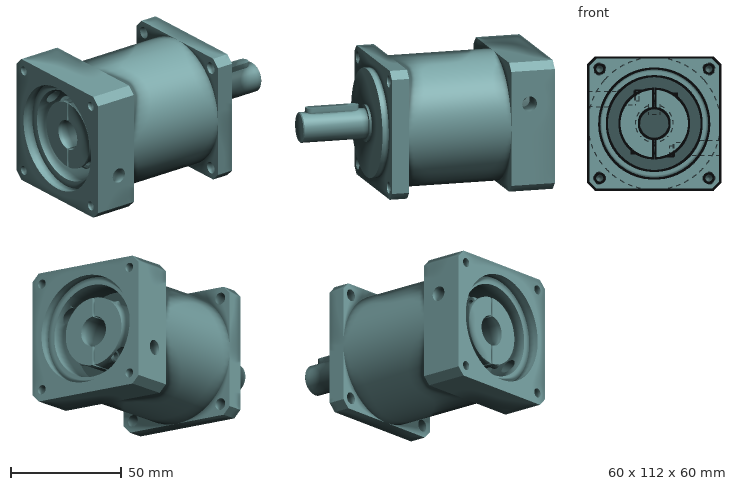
import cadquery as cq
import math


total_length = 112.0
side = 60.0
corner_chamfer = 3.5
motor_block_end = 20.6
flange_start = 68.9
flange_end = 77.0
pilot_diameter = 50.3
pilot_end = 80.1

shaft_diameter = 14.0
shaft_chamfer = 0.5
seal_diameter = 17.0
seal_end = 81.2

key_width = 5.0
key_height = 5.0
key_length = 25.1
key_tip_gap = 2.9
key_top = 9.1

recess_diameter = 50.0
recess_depth = 5.0
cavity_diameter = 43.0
cavity_depth = 22.4

clamp_diameter = 31.6
clamp_face = 6.0
bore_diameter = shaft_diameter
bore_depth = 31.4
slit_width = 1.0

screw_height = 11.8
screw_depth = 10.9
screw_diameter = 3.6
screw_tip = 10.4
head_diameter = 6.5
head_end = 9.0
head_length = 3.6
head_chamfer = 0.6
socket_diameter = 3.1
socket_depth = 2.0
screw_turns = (0, 180)

hole_offset = 24.8
motor_hole_diameter = 4.3
motor_hole_depth = 13.4
drill_tip_angle = 118.0
flange_hole_diameter = 5.5
access_diameter = 7.0
access_depth = 12.0
access_height = 11.1


def cylinder(diameter, start, end):
    """Round bar on the gearbox axis between two Y positions."""
    axis = cq.Vector(0, 1, 0)
    return cq.Workplane(cq.Solid.makeCylinder(diameter / 2, end - start, cq.Vector(0, start, 0), axis))


def square_plate(start, end):
    """Square plate with chamfered corners between two Y positions."""
    plate = cq.Workplane("XY").box(side, end - start, side)
    return plate.edges("|Y").chamfer(corner_chamfer).translate((0, (start + end) / 2, 0))


def make_case():
    """Square motor block and flange joined by the round case, with pilot, seal collar and shaft."""
    case = square_plate(0, motor_block_end)
    case = case.union(cylinder(side, motor_block_end, flange_start))
    case = case.union(square_plate(flange_start, flange_end))
    case = case.union(cylinder(pilot_diameter, flange_end, pilot_end))
    case = case.union(cylinder(seal_diameter, pilot_end, seal_end))
    shaft = cylinder(shaft_diameter, seal_end, total_length)
    return case.union(shaft.faces(">Y").chamfer(shaft_chamfer))


def make_cavity():
    """Stepped motor opening, leaving the split clamp ring standing on its floor."""
    ring = cylinder(clamp_diameter, clamp_face, cavity_depth)
    slit_length = cavity_depth - clamp_face
    slit = cq.Workplane("XY").box(slit_width, slit_length, clamp_diameter)
    ring = ring.cut(slit.translate((0, clamp_face + slit_length / 2, 0)))
    cavity = cylinder(recess_diameter, 0, recess_depth).union(cylinder(cavity_diameter, 0, cavity_depth))
    return cavity.cut(ring).union(cylinder(bore_diameter, clamp_face, bore_depth))


def bar_along_x(diameter, start, end, depth, height):
    """Round bar parallel to X between two X positions."""
    base = cq.Vector(start, depth, height)
    return cq.Workplane(cq.Solid.makeCylinder(diameter / 2, end - start, base, cq.Vector(1, 0, 0)))


def turned(shape, turn):
    """Turn a shape about the gearbox axis."""
    return shape.rotate((0, 0, 0), (0, 1, 0), turn)


def make_screw():
    """Screw across the upper half of the clamp ring, its chamfered socket head toward -X."""
    head_seat = head_length - head_end
    head = bar_along_x(head_diameter, -head_end, head_seat, screw_depth, screw_height)
    head = head.faces("<X").chamfer(head_chamfer)
    socket = bar_along_x(socket_diameter, -head_end, socket_depth - head_end, screw_depth, screw_height)
    shank = bar_along_x(screw_diameter, head_seat, screw_tip, screw_depth, screw_height)
    return head.cut(socket).union(shank)


def make_counterbore():
    """Recess in the clamp ring that takes the screw head."""
    return bar_along_x(head_diameter, -clamp_diameter / 2, head_length - head_end, screw_depth, screw_height)


def make_access_hole():
    """Tool hole through the -X wall of the motor block, in front of the upper screw head."""
    hole = bar_along_x(access_diameter, -side / 2, 0, access_depth, access_height)
    return hole.cut(cylinder(cavity_diameter, 0, cavity_depth))


def make_motor_hole(x, z):
    """Blind drilled hole with a conical tip, entering the motor face."""
    radius = motor_hole_diameter / 2
    tip_depth = motor_hole_depth + radius / math.tan(math.radians(drill_tip_angle / 2))
    profile = cq.Workplane("XY").polyline([(0, 0), (radius, 0), (radius, motor_hole_depth), (0, tip_depth)])
    return profile.close().revolve(360, (0, 0, 0), (0, 1, 0)).translate((x, 0, z))


def make_flange_hole(x, z):
    """Through hole in the output flange."""
    return cylinder(flange_hole_diameter, flange_start, flange_end).translate((x, 0, z))


def make_key():
    """Parallel key with full round ends."""
    middle = total_length - key_tip_gap - key_length / 2
    outline = cq.Workplane("XY").workplane(offset=key_top - key_height).center(0, middle)
    return outline.slot2D(key_length, key_width, 90).extrude(key_height)


def make_housing(key):
    """Gearbox body with its clamp ring, screws, holes and keyway."""
    housing = make_case().cut(make_cavity())
    for turn in screw_turns:
        housing = housing.cut(turned(make_access_hole(), turn))
        housing = housing.cut(turned(make_counterbore(), turn))
        housing = housing.union(turned(make_screw(), turn))
    for x in (-hole_offset, hole_offset):
        for z in (-hole_offset, hole_offset):
            housing = housing.cut(make_motor_hole(x, z)).cut(make_flange_hole(x, z))
    return housing.cut(key)


key = make_key()
housing = make_housing(key)
result = cq.Compound.makeCompound([housing.val(), key.val()])